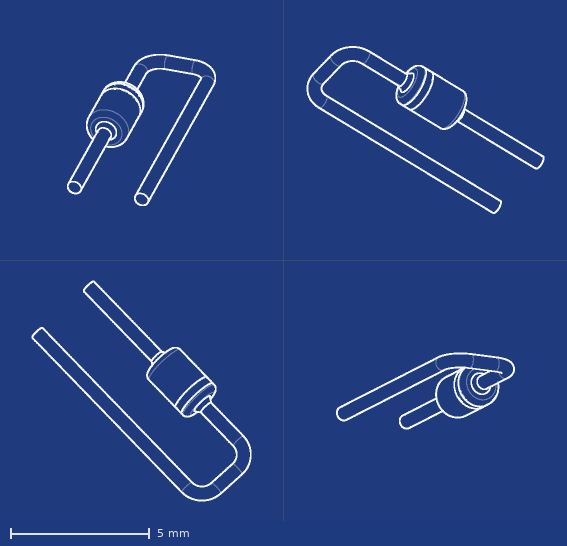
import cadquery as cq


wire_radius = 0.26
lead_pitch = 2.54
bend_radius = 0.75
overall_length = 8.91
bend_top = overall_length - wire_radius
bend_start = bend_top - bend_radius

housing_radius = 0.7885
housing_bottom = 3.805
housing_length = 2.19
housing_top = housing_bottom + housing_length
edge_radius = 0.2
cone_height = 0.205
cone_base_radius = 0.39
lower_cone_tip = housing_bottom - cone_height
upper_cone_tip = housing_top + cone_height

band_bottom = 5.42
band_width = 0.32
band_depth = 0.045


def cylinder_along_y(radius, start, length):
    """Cylinder about the Y axis, from Y = start towards +Y."""
    return cq.Workplane("XZ", origin=(0, start, 0)).circle(radius).extrude(-length)


def make_band():
    """Thin ring flush with the housing surface."""
    outer = cylinder_along_y(housing_radius, band_bottom, band_width)
    inner = cylinder_along_y(housing_radius - band_depth, band_bottom, band_width)
    return outer.cut(inner)


def make_housing(band):
    """Turned housing with rounded rims and a cone at each end, grooved for the band."""
    rim_radius = housing_radius - edge_radius
    housing = (
        cq.Workplane("XY")
        .moveTo(0, lower_cone_tip)
        .lineTo(wire_radius, lower_cone_tip)
        .lineTo(cone_base_radius, housing_bottom)
        .lineTo(rim_radius, housing_bottom)
        .radiusArc((housing_radius, housing_bottom + edge_radius), -edge_radius)
        .lineTo(housing_radius, housing_top - edge_radius)
        .radiusArc((rim_radius, housing_top), -edge_radius)
        .lineTo(cone_base_radius, housing_top)
        .lineTo(wire_radius, upper_cone_tip)
        .lineTo(0, upper_cone_tip)
        .close()
        .revolve(360, (0, 0, 0), (0, 1, 0))
    )
    return housing.cut(band)


def make_straight_lead():
    """Lead from Y = 0 up to the lower cone."""
    return cylinder_along_y(wire_radius, 0, lower_cone_tip)


def make_bent_lead():
    """Lead that leaves the upper cone, crosses over and returns to Y = 0."""
    path = (
        cq.Workplane("XY")
        .moveTo(0, upper_cone_tip)
        .lineTo(0, bend_start)
        .radiusArc((bend_radius, bend_top), bend_radius)
        .lineTo(lead_pitch - bend_radius, bend_top)
        .radiusArc((lead_pitch, bend_start), bend_radius)
        .lineTo(lead_pitch, 0)
    )
    section = cq.Workplane("XZ", origin=(0, upper_cone_tip, 0)).circle(wire_radius)
    return section.sweep(path)


band = make_band()
housing = make_housing(band)
straight_lead = make_straight_lead()
bent_lead = make_bent_lead()

result = cq.Compound.makeCompound(
    [housing.val(), band.val(), straight_lead.val(), bent_lead.val()]
)